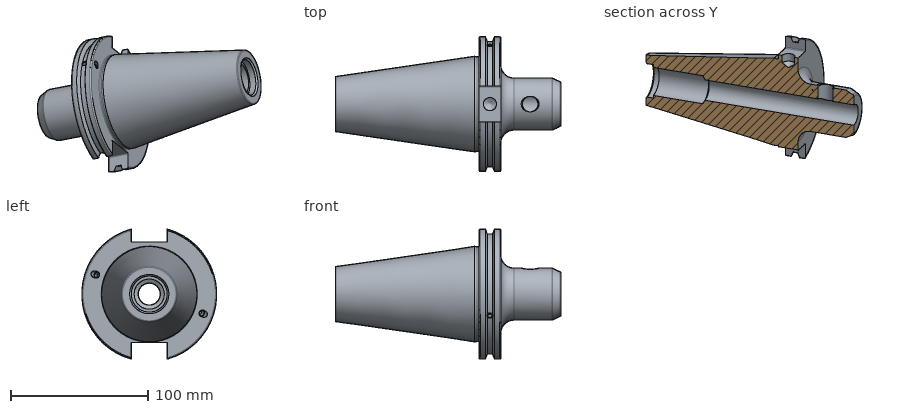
import cadquery as cq
import math

gauge_diameter = 69.85
taper_length = 101.6
taper_ratio = 7 / 24
taper_tip_fillet = 0.7
relief_diameter = 69.25
relief_start = 1.6
relief_fillet = 0.5

flange_diameter = 98.425
flange_start = 3.175
flange_width = 15.875
flange_fillet = 1.0
groove_floor_diameter = 91.5
groove_floor_width = 3.75
groove_rim_width = 6.7

slot_width = 26.2
slot_fillet = 0.6
top_slot_height = 38.1
bottom_slot_height = 35.4
slot_drill_diameter = 9.525
slot_drill_depth = 6.0
drill_tip_angle = 118

nose_diameter = 38.1
nose_end = 63.0
nose_fillet = 9.525
nose_cone_length = 6.5
nose_cone_angle = 25.7
nose_blend_length = 0.25
nose_tip_fillet = 1.5

bore_diameter = 15.875
thread_bore_diameter = 21.97
thread_bore_depth = 45.0
mouth_diameter = 26.2
mouth_depth = 6.0
mouth_chamfer = 1.2

screw_diameter = 11.33
screw_x = 40.4

port_diameter = 5.0
port_inner_diameter = 4.2
port_depth = 2.8
port_inner_depth = 9.0
port_tilt = 33
port_radius = 42.0
port_angle = 20
radial_hole_diameter = 3.24
radial_hole_mouth_diameter = 4.13
radial_hole_depth = 12.0

flange_end = flange_start + flange_width
flange_middle = flange_start + flange_width / 2
flange_radius = flange_diameter / 2
groove_floor_radius = groove_floor_diameter / 2


def body():
    """Turned outside shape: taper, neck, grooved flange and nose."""
    tip_radius = (gauge_diameter - taper_length * taper_ratio) / 2
    relief_radius = relief_diameter / 2
    floor_half = groove_floor_width / 2
    rim_half = groove_rim_width / 2
    rim_edge_radius = flange_radius - flange_fillet
    nose_radius = nose_diameter / 2
    cone_slope = math.radians(nose_cone_angle)
    cone_start = nose_end - nose_cone_length
    blend_x = nose_blend_length * math.cos(cone_slope)
    blend_drop = nose_blend_length * math.sin(cone_slope)
    blend_radius = nose_blend_length / math.tan(cone_slope / 2)
    fillet_centre_radius = nose_radius + nose_fillet
    profile = (
        cq.Workplane("XY")
        .moveTo(-taper_length, 0)
        .lineTo(-taper_length, tip_radius)
        .lineTo(0, gauge_diameter / 2)
        .lineTo(relief_start, relief_radius)
        .lineTo(flange_start - relief_fillet, relief_radius)
        .radiusArc((flange_start, relief_radius + relief_fillet), -relief_fillet)
        .lineTo(flange_start, rim_edge_radius)
        .radiusArc((flange_start + flange_fillet, flange_radius), flange_fillet)
        .lineTo(flange_middle - rim_half, flange_radius)
        .lineTo(flange_middle - floor_half, groove_floor_radius)
        .lineTo(flange_middle + floor_half, groove_floor_radius)
        .lineTo(flange_middle + rim_half, flange_radius)
        .lineTo(flange_end - flange_fillet, flange_radius)
        .radiusArc((flange_end, rim_edge_radius), flange_fillet)
        .lineTo(flange_end, fillet_centre_radius)
        .radiusArc((flange_end + nose_fillet, nose_radius), -nose_fillet)
        .lineTo(cone_start - nose_blend_length, nose_radius)
        .radiusArc((cone_start + blend_x, nose_radius - blend_drop), blend_radius)
        .lineTo(nose_end, nose_radius - nose_cone_length * math.tan(cone_slope))
        .lineTo(nose_end, 0)
        .close()
    )
    turned = profile.revolve(360, (0, 0, 0), (1, 0, 0))
    turned = turned.faces("<X").edges().fillet(taper_tip_fillet)
    return turned.faces(">X").edges().fillet(nose_tip_fillet)


def central_bore():
    """Stepped bore along the whole axis, with a conical step down to the shank bore."""
    mouth_radius = mouth_diameter / 2
    thread_radius = thread_bore_diameter / 2
    bore_radius = bore_diameter / 2
    mouth_start = -taper_length
    thread_end = mouth_start + thread_bore_depth
    cone_length = (thread_radius - bore_radius) / math.tan(math.radians(drill_tip_angle / 2))
    profile = cq.Workplane("XY").polyline([
        (mouth_start, 0),
        (mouth_start, mouth_radius + mouth_chamfer),
        (mouth_start + mouth_chamfer, mouth_radius),
        (mouth_start + mouth_depth, mouth_radius),
        (mouth_start + mouth_depth, thread_radius),
        (thread_end, thread_radius),
        (thread_end + cone_length, bore_radius),
        (nose_end, bore_radius),
        (nose_end, 0),
    ]).close()
    return profile.revolve(360, (0, 0, 0), (1, 0, 0))


def drive_slot(side, floor_height):
    """Slot across the flange rim, above the axis for side = 1 and below for side = -1."""
    height = flange_radius - floor_height
    middle = side * (floor_height + height / 2)
    block = cq.Workplane("XY").box(flange_width, slot_width, height)
    floor_edges = "|X and <Z" if side > 0 else "|X and >Z"
    return block.edges(floor_edges).fillet(slot_fillet).translate((flange_middle, 0, middle))


def slot_drill():
    """Blind drilled hole with a conical tip in the floor of the upper slot."""
    radius = slot_drill_diameter / 2
    tip_length = radius / math.tan(math.radians(drill_tip_angle / 2))
    profile = cq.Workplane("XZ").polyline([
        (0, 0),
        (radius, 0),
        (radius, -slot_drill_depth),
        (0, -slot_drill_depth - tip_length),
    ]).close()
    return profile.revolve(360, (0, 0, 0), (0, 1, 0)).translate((flange_middle, 0, top_slot_height))


def screw_hole():
    """Hole from the top of the nose into the bore, with a 45 degree countersunk mouth."""
    radius = screw_diameter / 2
    nose_radius = nose_diameter / 2
    mouth_base = math.sqrt(nose_radius ** 2 - radius ** 2)
    rise = nose_radius - mouth_base
    profile = cq.Workplane("XZ").polyline([
        (0, 0),
        (radius, 0),
        (radius, mouth_base),
        (radius + rise, nose_radius),
        (0, nose_radius),
    ]).close()
    return profile.revolve(360, (0, 0, 0), (0, 1, 0)).translate((screw_x, 0, 0))


def drilled(start, direction, diameter, depth):
    """Plain cylinder from a start point along a direction."""
    return cq.Workplane(cq.Solid.makeCylinder(diameter / 2, depth, start, direction))


def coolant_holes():
    """Stepped inclined port and countersunk radial hole on the +Y side of the flange."""
    tilt = math.radians(port_tilt)
    port_start = cq.Vector(flange_start, port_radius, 0)
    port_direction = cq.Vector(math.cos(tilt), -math.sin(tilt), 0)
    mouth_start = port_start - port_direction * port_diameter
    radial_start = cq.Vector(flange_middle, groove_floor_radius, 0)
    inward = cq.Vector(0, -1, 0)
    hole_radius = radial_hole_diameter / 2
    countersink_radius = radial_hole_mouth_diameter / 2
    countersink_depth = countersink_radius - hole_radius
    countersink = cq.Solid.makeCone(countersink_radius, hole_radius, countersink_depth, radial_start, inward)
    holes = drilled(mouth_start, port_direction, port_diameter, port_diameter + port_depth)
    holes = holes.union(drilled(port_start, port_direction, port_inner_diameter, port_inner_depth))
    holes = holes.union(drilled(radial_start, inward, radial_hole_diameter, radial_hole_depth))
    holes = holes.union(cq.Workplane(countersink))
    return holes.rotate((0, 0, 0), (1, 0, 0), port_angle)


result = body().cut(central_bore())
result = result.cut(drive_slot(1, top_slot_height)).cut(drive_slot(-1, bottom_slot_height))
result = result.cut(slot_drill()).cut(screw_hole())
for half_turn in (0, 180):
    result = result.cut(coolant_holes().rotate((0, 0, 0), (1, 0, 0), half_turn))